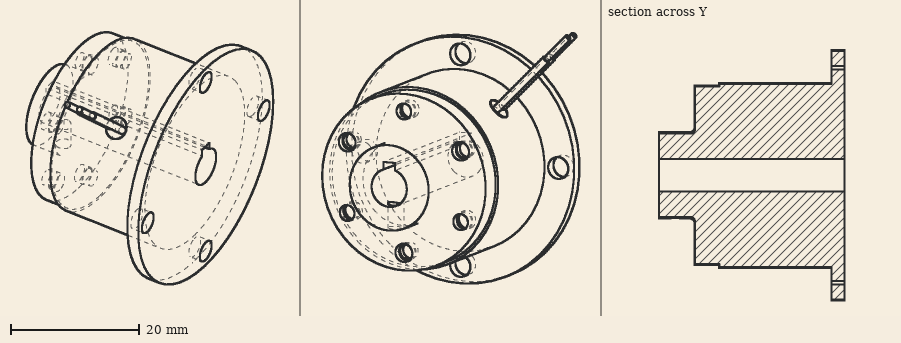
import cadquery as cq
import math

hub_length = 5.55
body_start = 9.35
overall_length = 28.9
flange_thickness = 2.05
flange_start = overall_length - flange_thickness

hub_diameter = 13.5
plate_diameter = 27.95
body_diameter = 28.8
flange_diameter = 39.0
hub_fillet = 0.65

bore_diameter = 6.0
keyway_width = 2.05
keyway_top = 4.03
set_screw_diameter = 2.45
set_screw_x = 2.55

mount_hole_diameter = 3.45
mount_hole_radius = 16.75
mount_hole_count = 4

plate_hole_radius = 11.2
plate_hole_depth = 2.55
relieved_hole_diameter = 2.5
relieved_hole_floor_diameter = 2.9
stepped_hole_diameter = 2.9
stepped_hole_floor_diameter = 2.55
plate_hole_step_depth = 1.4
plate_hole_count = 3
relieved_hole_start_angle = 90
stepped_hole_start_angle = 30

lead_angle = 45
lead_x = 18.9
plug_diameter = 3.47
plug_rise = 0.1
plug_face = body_diameter / 2 + plug_rise
lead_spacing = 2.25
sheath_diameter = 1.2
sheath_end = 26.6
core_diameter = 0.95
core_end = 31.9

overlap = 0.42


def axial_cylinder(diameter, start, end, y=0, z=0):
    """Cylinder parallel to X between two axial stations."""
    return cq.Workplane("YZ", origin=(start, y, z)).circle(diameter / 2).extrude(end - start)


def radial_cylinder(diameter, x, start, end):
    """Cylinder along the lead direction between two distances from the main axis."""
    angle = math.radians(lead_angle)
    direction = cq.Vector(0, -math.cos(angle), math.sin(angle))
    base = cq.Vector(x, 0, 0) + direction * start
    return cq.Workplane(cq.Solid.makeCylinder(diameter / 2, end - start, base, direction))


def axial_holes(diameter, circle_radius, count, start_angle, start, end):
    """Evenly spaced cylinders around the main axis, to be cut as holes."""
    holes = cq.Workplane("YZ")
    for i in range(count):
        angle = math.radians(start_angle + i * 360 / count)
        y = circle_radius * math.cos(angle)
        z = circle_radius * math.sin(angle)
        holes = holes.add(axial_cylinder(diameter, start, end, y, z))
    return holes.combine()


def turned_body():
    """Hub, front plate, body and mounting flange on one axis."""
    plate = axial_cylinder(plate_diameter, hub_length, body_start)
    hub = axial_cylinder(hub_diameter, 0, hub_length)
    root_edge = cq.selectors.NearestToPointSelector((hub_length, 0, 0))
    front = plate.union(hub).edges("%CIRCLE").edges(root_edge).fillet(hub_fillet)
    body = axial_cylinder(body_diameter, body_start, flange_start)
    flange = axial_cylinder(flange_diameter, flange_start, overall_length)
    return front.union(body).union(flange)


def keyed_bore():
    """Through bore with a keyway on its +Z side."""
    keyway = cq.Workplane("XY").box(
        overall_length, keyway_width, keyway_top, centered=(False, True, False)
    )
    return axial_cylinder(bore_diameter, 0, overall_length).union(keyway)


def set_screw_hole():
    """Radial hole from the bore to the underside of the hub."""
    return (
        cq.Workplane("XY", origin=(set_screw_x, 0, 0))
        .circle(set_screw_diameter / 2)
        .extrude(-hub_diameter / 2 - overlap)
    )


def two_stage_holes(mouth_diameter, floor_diameter, start_angle):
    """Blind holes in the front plate that change diameter at the step depth."""
    step = hub_length + plate_hole_step_depth
    floor = hub_length + plate_hole_depth
    mouth = axial_holes(mouth_diameter, plate_hole_radius, plate_hole_count, start_angle, hub_length, step)
    bottom = axial_holes(floor_diameter, plate_hole_radius, plate_hole_count, start_angle, step, floor)
    return mouth.union(bottom)


def lead_wire(x):
    """Sheathed wire with a bare core, rooted inside the plug."""
    sheath = radial_cylinder(sheath_diameter, x, plug_face - overlap, sheath_end)
    core = radial_cylinder(core_diameter, x, sheath_end - overlap, core_end)
    return sheath.union(core)


mount_holes = axial_holes(mount_hole_diameter, mount_hole_radius, mount_hole_count,
                          0, flange_start, overall_length)
relieved_holes = two_stage_holes(
    relieved_hole_diameter, relieved_hole_floor_diameter, relieved_hole_start_angle
)
stepped_holes = two_stage_holes(
    stepped_hole_diameter, stepped_hole_floor_diameter, stepped_hole_start_angle
)
plug = radial_cylinder(plug_diameter, lead_x, body_diameter / 2 - overlap, plug_face)

result = turned_body()
for cutter in (keyed_bore(), set_screw_hole(), relieved_holes, stepped_holes, mount_holes):
    result = result.cut(cutter)
result = result.union(plug)
for side in (-1, 1):
    result = result.union(lead_wire(lead_x + side * lead_spacing / 2))